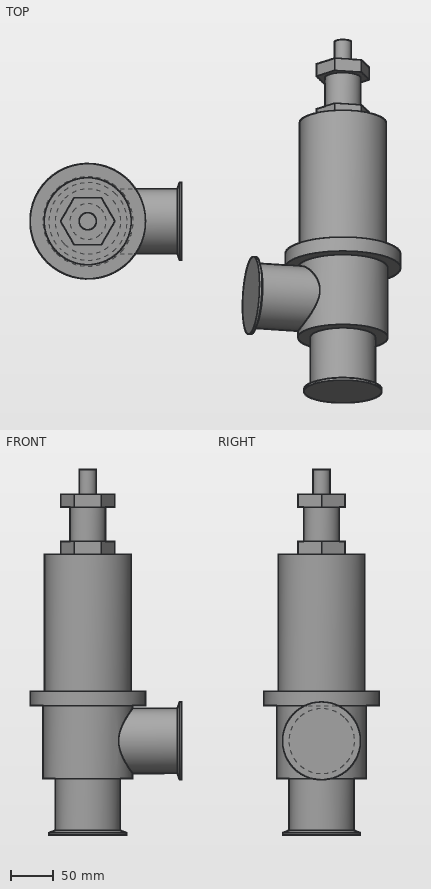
import cadquery as cq
import math

body_diameter = 105.0
body_bottom = 66.0
body_height = 85.0
flange_diameter = 135.0
flange_thickness = 17.0
flange_bottom = body_bottom + body_height
flange_top = flange_bottom + flange_thickness

bonnet_diameter = 101.6
bonnet_height = 160.0
bonnet_top = flange_top + bonnet_height

nut_across_flats = 55.0
nut_across_corners = nut_across_flats / math.cos(math.pi / 6)
nut_height = 15.0
neck_exposed_length = 40.0
lower_nut_top = bonnet_top + nut_height
upper_nut_bottom = lower_nut_top + neck_exposed_length
upper_nut_top = upper_nut_bottom + nut_height
neck_diameter = 42.0
rod_diameter = 20.0
overall_height = 427.0

pipe_diameter = 76.3
ferrule_diameter = 91.0
ferrule_rim_thickness = 2.85
ferrule_taper_angle = 20.0
outlet_axis_height = 110.0
outlet_reach = 110.0


def cylinder(diameter, bottom, top):
    """Round section on the Z axis between two heights."""
    return cq.Workplane("XY").workplane(offset=bottom).circle(diameter / 2).extrude(top - bottom)


def hexagon_nut(bottom):
    """Hexagon nut on the Z axis with two corners on the X direction."""
    return cq.Workplane("XY").workplane(offset=bottom).polygon(6, nut_across_corners).extrude(nut_height)


def ferrule_pipe(length):
    """Pipe along +Z with its ferrule face at Z = 0 and a tapered back to the rim."""
    pipe_radius = pipe_diameter / 2
    rim_radius = ferrule_diameter / 2
    taper_length = (rim_radius - pipe_radius) * math.tan(math.radians(ferrule_taper_angle))
    profile = (
        cq.Workplane("XZ")
        .moveTo(0, 0)
        .lineTo(rim_radius, 0)
        .lineTo(rim_radius, ferrule_rim_thickness)
        .lineTo(pipe_radius, ferrule_rim_thickness + taper_length)
        .lineTo(pipe_radius, length)
        .lineTo(0, length)
        .close()
    )
    return profile.revolve(360, (0, 0, 0), (0, 1, 0))


def valve_housing():
    """Body, flange and bonnet."""
    body = cylinder(body_diameter, body_bottom, flange_bottom)
    flange = cylinder(flange_diameter, flange_bottom, flange_top)
    bonnet = cylinder(bonnet_diameter, flange_top, bonnet_top)
    return body.union(flange).union(bonnet)


def adjusting_stem():
    """Lower nut, neck, upper nut and rod above the bonnet."""
    lower_nut = hexagon_nut(bonnet_top)
    neck = cylinder(neck_diameter, lower_nut_top, upper_nut_bottom)
    upper_nut = hexagon_nut(upper_nut_bottom)
    rod = cylinder(rod_diameter, upper_nut_top, overall_height)
    return lower_nut.union(neck).union(upper_nut).union(rod)


def outlet():
    """Side pipe from the body axis out to its ferrule face on +X."""
    pipe = ferrule_pipe(outlet_reach).rotate((0, 0, 0), (0, 1, 0), -90)
    return pipe.translate((outlet_reach, 0, outlet_axis_height))


inlet = ferrule_pipe(body_bottom)
result = valve_housing().union(adjusting_stem()).union(inlet).union(outlet())